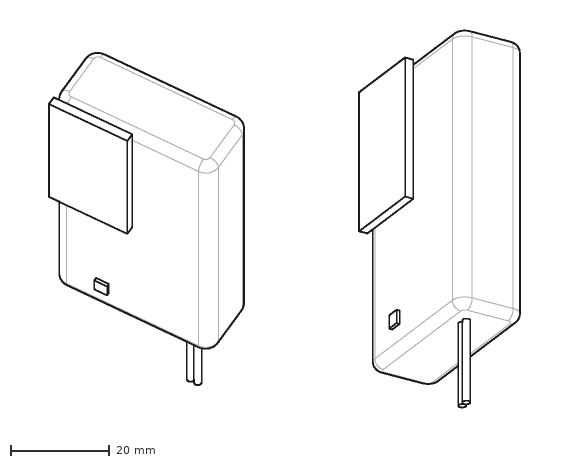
import cadquery as cq

total_height = 81.7
case_width = 37.0
case_height = 63.05
total_depth = 17.5
plate_thickness = 2.0
case_depth = total_depth - plate_thickness
case_bottom = 0.0
case_top = case_bottom + case_height
case_front = -case_depth / 2

upright_edge_radius = 2.9
end_edge_radius = 2.0

plate_width = case_width / 2
plate_height = case_height / 2

knob_size = 3.0
knob_rise = 0.7
knob_center_x = -7.0
knob_center_z = 7.0

wire_diameter = 1.6
wire_spacing = 1.7
wire_pair_x = 11.5
wire_y = -2.5
wire_length = total_height - case_height


def make_case_shell():
    """Block with rounded upright edges and smaller rounds at both ends."""
    block = cq.Workplane("XY").box(case_width, case_depth, case_height, centered=(True, True, False))
    block = block.edges("|Z").fillet(upright_edge_radius)
    return block.faces("<Z or >Z").edges().fillet(end_edge_radius)


def make_knob():
    """Square switch knob standing on the front face."""
    knob = cq.Workplane("XY").box(knob_size, knob_rise, knob_size)
    return knob.translate((knob_center_x, case_front - knob_rise / 2, knob_center_z))


def make_wire(center_x):
    """Round wire hanging from the bottom face."""
    return (
        cq.Workplane("XY", origin=(center_x, wire_y, case_bottom))
        .circle(wire_diameter / 2)
        .extrude(-wire_length)
    )


def make_case():
    """Case with its knob and both wires, as one solid."""
    case = make_case_shell().union(make_knob())
    for side in (-1, 1):
        case = case.union(make_wire(wire_pair_x + side * wire_spacing / 2))
    return case


def make_plate():
    """Flat plate lying against the front face, flush with the left side and top of the case."""
    plate = cq.Workplane("XY").box(plate_width, plate_thickness, plate_height, centered=False)
    return plate.translate((-case_width / 2, case_front - plate_thickness, case_top - plate_height))


case = make_case()
plate = make_plate()

result = cq.Compound.makeCompound([case.solids().val(), plate.val()])